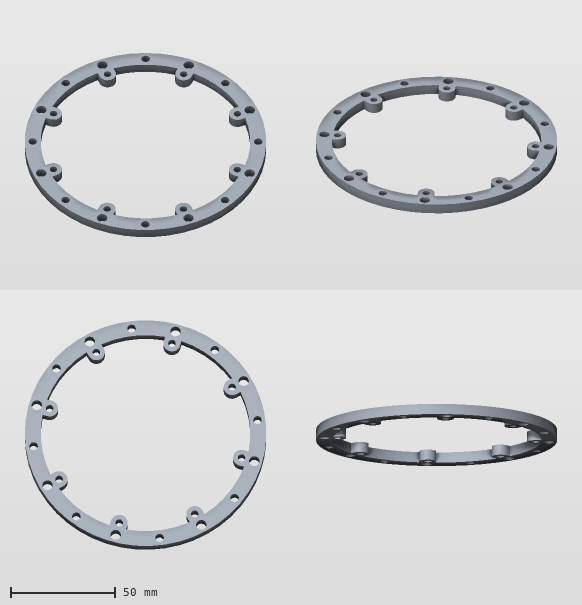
import cadquery as cq

outer_diameter = 115.3
inner_diameter = 100.1
thickness = 5.0

ring_hole_circle_radius = 53.9
large_hole_diameter = 5.0
small_hole_diameter = 4.0

lug_count = 8
lug_width = 8.1
lug_circle_radius = 47.5
lug_hole_diameter = 3.6

pitch_angle = 360 / lug_count


def cylinders_on_circle(circle_radius, diameter, start_angle):
    """Full-thickness cylinders, one per lug position."""
    return (
        cq.Workplane("XY")
        .polarArray(circle_radius, start_angle, 360, lug_count)
        .circle(diameter / 2)
        .extrude(thickness)
    )


def lug(angle):
    """Round-ended lug whose square end is sunk into the ring."""
    root_length = lug_width / 2
    round_end = cq.Workplane("XY").center(lug_circle_radius, 0).circle(lug_width / 2).extrude(thickness)
    square_root = (
        cq.Workplane("XY")
        .center(lug_circle_radius + root_length / 2, 0)
        .rect(root_length, lug_width)
        .extrude(thickness)
    )
    return round_end.union(square_root).rotate((0, 0, 0), (0, 0, 1), angle)


result = cq.Workplane("XY").circle(outer_diameter / 2).circle(inner_diameter / 2).extrude(thickness)

for position in range(lug_count):
    result = result.union(lug(position * pitch_angle))

result = result.cut(cylinders_on_circle(ring_hole_circle_radius, large_hole_diameter, 0))
result = result.cut(cylinders_on_circle(ring_hole_circle_radius, small_hole_diameter, pitch_angle / 2))
result = result.cut(cylinders_on_circle(lug_circle_radius, lug_hole_diameter, 0))